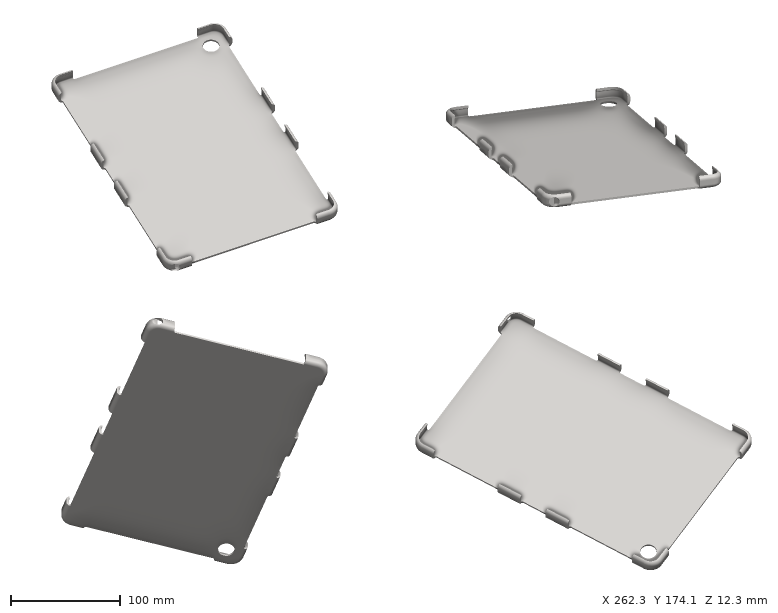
import math

import cadquery as cq

length = 262.33
width = 174.09
height = 12.32

wall = 2.6
floor = 2.0
lip_thickness = 2.6
inner_edge_radius = 1.1
edge_radius = 3.9
corner_radius = 12.0
lip_reach = 3.25
lip_drop = edge_radius - math.sqrt(edge_radius**2 - (edge_radius - lip_reach) ** 2)
block_height = height + lip_drop

plate_inset_x = 4.45
plate_inset_y = 4.1
notch_radius = 1.5

corner_clip_reach = 24.4
side_clip_length = 23.5
side_clip_offset = 25.7

camera_radius = 7.6
camera_x = -112.8
camera_y = 68.5
port_radius = 4.5
port_y = -78.8
port_z = height / 2


def rounded_block(inset, bottom, top):
    """Block with rounded vertical corners, inset from the outer walls."""
    return (
        cq.Workplane("XY")
        .workplane(offset=bottom)
        .rect(length - 2 * inset, width - 2 * inset)
        .extrude(top - bottom)
        .edges("|Z")
        .fillet(corner_radius - inset)
    )


def make_shell():
    """Full tray with rounded bottom edges and an inward-curling lip."""
    outer = rounded_block(0, 0, block_height).faces("<Z or >Z").edges().fillet(edge_radius)
    cavity = rounded_block(wall, floor, block_height - lip_thickness)
    cavity = cavity.faces("<Z or >Z").edges().fillet(inner_edge_radius)
    mouth = rounded_block(lip_reach, height / 2, height + wall)
    return outer.cut(cavity).cut(mouth)


def clip_footprints(thickness):
    """Slabs covering the four corner clips and the two pairs of long-side clips."""
    reach = corner_clip_reach
    corners = (
        cq.Workplane("XY")
        .rect(length - reach, width - reach, forConstruction=True)
        .vertices()
        .rect(reach, reach)
        .extrude(thickness)
    )
    sides = (
        cq.Workplane("XY")
        .pushPoints([(-side_clip_offset, 0), (side_clip_offset, 0)])
        .rect(side_clip_length, width)
        .extrude(thickness)
    )
    return corners.union(sides)


def is_notch_corner(edge):
    """True for a vertical edge where a clip root meets the plate side."""
    center = edge.Center()
    inside_x = abs(center.x) < length / 2 - plate_inset_x / 2
    inside_y = abs(center.y) < width / 2 - plate_inset_y / 2
    return inside_x and inside_y


def make_floor_zone():
    """Floor outline: plate plus clip roots, with rounded inside corners at the roots."""
    plate_x = length - 2 * plate_inset_x
    plate_y = width - 2 * plate_inset_y
    zone = cq.Workplane("XY").rect(plate_x, plate_y).extrude(floor).union(clip_footprints(floor))
    return zone.edges("|Z").filter(is_notch_corner).fillet(notch_radius)


def make_camera_hole():
    return cq.Workplane("XY").center(camera_x, camera_y).circle(camera_radius).extrude(height)


def make_port_hole():
    """Round hole along X through the +X wall at the front corner."""
    return (
        cq.Workplane("YZ")
        .workplane(offset=length / 2 - lip_reach)
        .center(port_y, port_z)
        .circle(port_radius)
        .extrude(lip_reach)
    )


result = (
    make_shell()
    .intersect(make_floor_zone().union(clip_footprints(height)))
    .cut(make_camera_hole())
    .cut(make_port_hole())
)